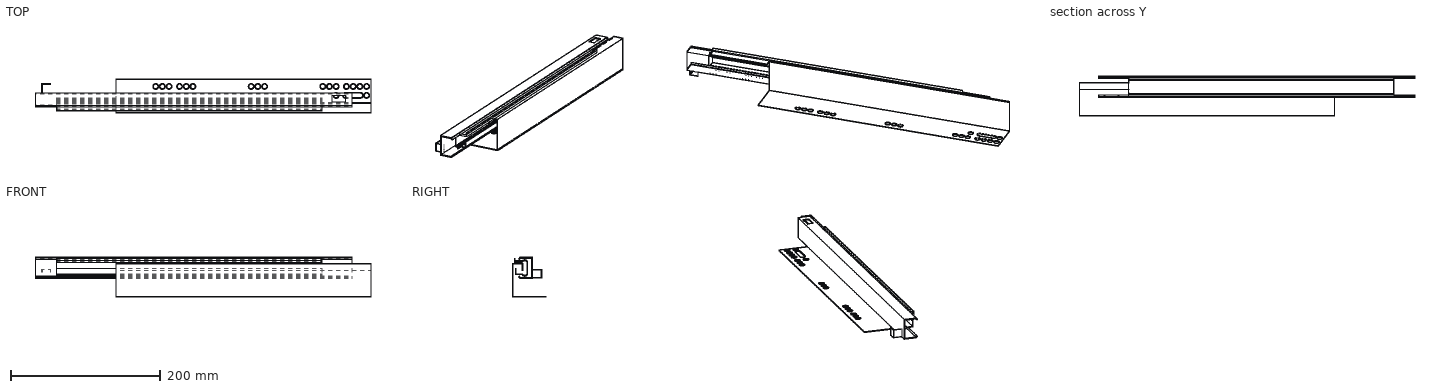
import cadquery as cq
import math


total_length = 450.0
total_width = 45.5
total_height = 53.5

cabinet_sheet = 1.2
cabinet_start = 108.0
cabinet_height = 45.4
hook_width = 14.2
hook_tip_z = 35.4

hole_diameter = 6.2
countersink = 0.8
countersink_angle = 45.0
hole_pitch = 9.0
hole_groups = [(161.2, 3), (193.2, 3), (289.2, 3), (385.2, 3), (417.0, 4)]
hole_row_y = 35.8
inner_row_y = 23.8
inner_row_holes_x = [403.2, 444.0]
slot_start = 412.7
slot_end = 438.7

drawer_sheet = 1.5
drawer_length = 424.7
drawer_back_y = 27.3
drawer_front_y = 10.4
drawer_bottom_z = 25.0
lip_run = 2.1
lip_angle = math.radians(45)

window_start = 397.9
window_length = 18.0
window_width = 8.2
window_y = 15.3

bracket_sheet = 1.2
bracket_start = 8.3
bracket_length = 12.0
bracket_back_y = 39.8
bracket_bottom_z = 25.8
bracket_height = 11.0

middle_sheet = 1.0
middle_start = 28.5
middle_end = 384.0
web_y = 20.5
channel_top_z = 49.6
channel_bottom_z = 28.6
channel_corner = 1.5
channel_edge_y = 14.5
upper_flange_top_z = 49.0
upper_flange_bottom_z = 46.7
upper_lip_y = 2.9
upper_lip_tip_z = 51.9
lower_flange_z = 30.2
lower_lip_y = 4.3
lower_lip_tip_z = 38.6

guide_rib_y = 16.6
guide_rib_thickness = 0.5


def extrude_along_x(points, start, end):
    """Extrude a closed outline of (y, z) points from X = start to X = end."""
    return cq.Workplane("YZ", origin=(start, 0, 0)).polyline(points).close().extrude(end - start)


def box(x, y, z):
    """A box given by its (low, high) limits on each axis."""
    size = (x[1] - x[0], y[1] - y[0], z[1] - z[0])
    return cq.Workplane("XY").box(*size, centered=False).translate((x[0], y[0], z[0]))


def base_holes():
    """Cutter for every screw hole and the slot in the cabinet rail's base."""
    centers = [(first + i * hole_pitch, hole_row_y) for first, count in hole_groups for i in range(count)]
    centers += [(x, inner_row_y) for x in inner_row_holes_x]
    slot_middle = (slot_start + slot_end) / 2
    slot_length = slot_end - slot_start
    sink_bottom = cabinet_sheet - countersink
    base = cq.Workplane("XY")
    holes = base.pushPoints(centers).circle(hole_diameter / 2).extrude(cabinet_sheet)
    slot = (
        base.center(slot_middle, inner_row_y)
        .slot2D(slot_length, hole_diameter)
        .extrude(cabinet_sheet)
    )
    sink = base.workplane(offset=sink_bottom)
    hole_sinks = (
        sink.pushPoints(centers)
        .circle(hole_diameter / 2)
        .extrude(countersink, taper=-countersink_angle)
    )
    slot_sink = (
        sink.center(slot_middle, inner_row_y)
        .slot2D(slot_length, hole_diameter)
        .extrude(countersink, taper=-countersink_angle)
    )
    return holes.union(slot).union(hole_sinks).union(slot_sink)


def make_cabinet_rail():
    t = cabinet_sheet
    profile = [
        (total_width, 0),
        (0, 0),
        (0, cabinet_height),
        (hook_width, cabinet_height),
        (hook_width, hook_tip_z),
        (hook_width - t, hook_tip_z),
        (hook_width - t, cabinet_height - t),
        (t, cabinet_height - t),
        (t, t),
        (total_width, t),
    ]
    return extrude_along_x(profile, cabinet_start, total_length).cut(base_holes())


def make_middle_rail():
    t = middle_sheet
    upper_step = channel_top_z - upper_flange_top_z
    lower_step = lower_flange_z - channel_bottom_z
    inner_y = web_y - t
    inner_corner = channel_corner - t / 2
    inner_top_z = channel_top_z - t
    inner_bottom_z = channel_bottom_z + t
    inner_drop = inner_top_z - upper_flange_bottom_z
    inner_edge_y = channel_edge_y + t / 2
    profile = [
        (upper_lip_y, upper_lip_tip_z),
        (upper_lip_y + t, upper_lip_tip_z),
        (upper_lip_y + t, upper_flange_top_z),
        (channel_edge_y - upper_step, upper_flange_top_z),
        (channel_edge_y, channel_top_z),
        (web_y - channel_corner, channel_top_z),
        (web_y, channel_top_z - channel_corner),
        (web_y, channel_bottom_z + channel_corner),
        (web_y - channel_corner, channel_bottom_z),
        (channel_edge_y, channel_bottom_z),
        (channel_edge_y - lower_step, lower_flange_z),
        (lower_lip_y, lower_flange_z),
        (lower_lip_y, lower_lip_tip_z),
        (lower_lip_y + t, lower_lip_tip_z),
        (lower_lip_y + t, lower_flange_z + t),
        (inner_edge_y - lower_step, lower_flange_z + t),
        (inner_edge_y, inner_bottom_z),
        (inner_y - inner_corner, inner_bottom_z),
        (inner_y, inner_bottom_z + inner_corner),
        (inner_y, inner_top_z - inner_corner),
        (inner_y - inner_corner, inner_top_z),
        (inner_edge_y, inner_top_z),
        (inner_edge_y - inner_drop, upper_flange_bottom_z),
        (upper_lip_y, upper_flange_bottom_z),
    ]
    rail = extrude_along_x(profile, middle_start, middle_end)
    rib_x = (middle_start, middle_end)
    rib_y = (guide_rib_y - guide_rib_thickness / 2, guide_rib_y + guide_rib_thickness / 2)
    upper_rib = box(rib_x, rib_y, (inner_top_z, total_height - drawer_sheet))
    lower_rib = box(rib_x, rib_y, (drawer_bottom_z + drawer_sheet, inner_bottom_z))
    return rail.union(upper_rib).union(lower_rib)


def make_bracket():
    """L-shaped bracket standing on the back of the drawer rail."""
    t = bracket_sheet
    z = (bracket_bottom_z, bracket_bottom_z + bracket_height)
    arm = box((bracket_start, bracket_start + t), (drawer_back_y, bracket_back_y), z)
    plate = box((bracket_start, bracket_start + bracket_length), (bracket_back_y - t, bracket_back_y), z)
    return arm.union(plate)


def make_drawer_rail():
    t = drawer_sheet
    top = total_height
    bottom = drawer_bottom_z
    lip_tip_y = drawer_front_y - lip_run
    lip_offset = t * math.sin(lip_angle)
    bend = t * math.tan(lip_angle / 2)
    profile = [
        (drawer_back_y, bottom),
        (drawer_back_y, top),
        (drawer_front_y, top),
        (lip_tip_y, top - lip_run),
        (lip_tip_y + lip_offset, top - lip_run - lip_offset),
        (drawer_front_y + bend, top - t),
        (drawer_back_y - t, top - t),
        (drawer_back_y - t, bottom + t),
        (drawer_front_y + bend, bottom + t),
        (lip_tip_y + lip_offset, bottom + lip_run + lip_offset),
        (lip_tip_y, bottom + lip_run),
        (drawer_front_y, bottom),
    ]
    rail = extrude_along_x(profile, 0, drawer_length)
    window = box(
        (window_start, window_start + window_length),
        (window_y, window_y + window_width),
        (bottom, top),
    )
    return rail.cut(window).union(make_bracket())


cabinet_rail = make_cabinet_rail()
middle_rail = make_middle_rail()
drawer_rail = make_drawer_rail()

result = cq.Compound.makeCompound([cabinet_rail.val(), middle_rail.val(), drawer_rail.val()])